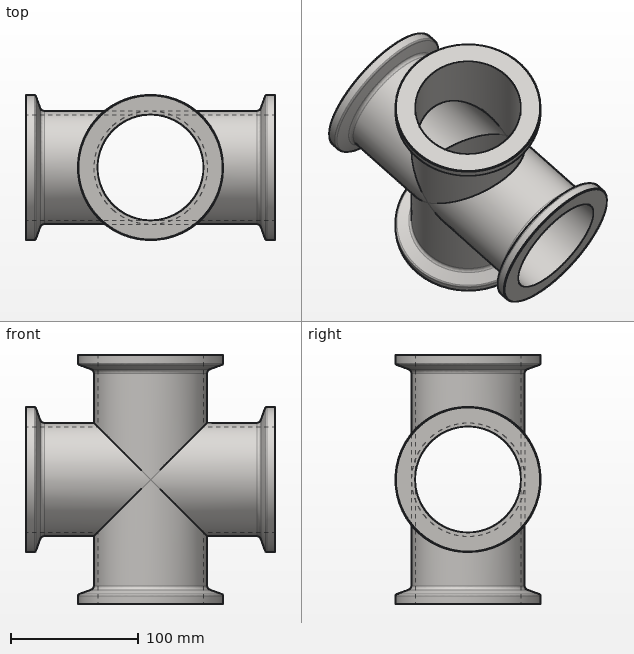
import cadquery as cq
import math

overall_length = 196.0
bore_diameter = 83.0
tube_diameter = 89.0
flange_diameter = 114.0
rim_thickness = 7.8
edge_chamfer = 0.5
taper_angle = 20.0
rim_round = 1.5
neck_round = 3.1

half_length = overall_length / 2
tube_radius = tube_diameter / 2
flange_radius = flange_diameter / 2
taper_height = (flange_radius - tube_radius) * math.tan(math.radians(taper_angle))
rim_back = half_length - rim_thickness
neck_height = rim_back - taper_height


def flanged_tube():
    """Solid tube body along Z with a clamp flange at each end."""
    tube = cq.Workplane("XY").circle(tube_radius).extrude(half_length, both=True)
    flange = (
        cq.Workplane("XZ")
        .moveTo(0, neck_height)
        .lineTo(tube_radius, neck_height)
        .lineTo(flange_radius, rim_back)
        .lineTo(flange_radius, half_length - edge_chamfer)
        .lineTo(flange_radius - edge_chamfer, half_length)
        .lineTo(0, half_length)
        .close()
        .revolve(360, (0, 0, 0), (0, 1, 0))
    )
    body = tube.union(flange).union(flange.mirror("XY"))
    for height in (rim_back, -rim_back):
        body = body.edges(edge_at(height, flange_radius)).fillet(rim_round)
    for height in (neck_height, -neck_height):
        body = body.edges(edge_at(height, tube_radius)).fillet(neck_round)
    return body


def edge_at(height, radius):
    """Selector for the circular edge of a given radius around Z at a given height."""
    margin = 0.1
    return cq.selectors.BoxSelector(
        (-radius - margin, -radius - margin, height - margin),
        (radius + margin, radius + margin, height + margin),
        boundingbox=True,
    )


def turn_to_x(body):
    """Turn a body from the Z axis to the X axis."""
    return body.rotate((0, 0, 0), (0, 1, 0), 90)


vertical = flanged_tube()
bore = cq.Workplane("XY").circle(bore_diameter / 2).extrude(half_length, both=True)
result = vertical.union(turn_to_x(vertical)).cut(bore).cut(turn_to_x(bore))